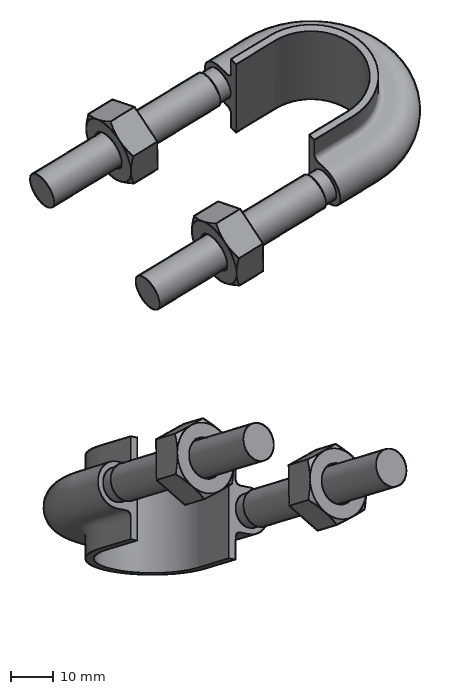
import cadquery as cq
import math

overall_length = 90.73
leg_spacing = 40.0
bend_radius = leg_spacing / 2
rod_radius = 8.38 / 2
thread_radius = 9.2 / 2
thread_length = 50.0

tube_wall = 1.5
plate_thickness = 2.0
plate_height = 25.0
sleeve_leg = 11.6
blend_radius = 1.5
tube_radius = rod_radius + tube_wall
plate_outer = bend_radius - rod_radius
plate_inner = plate_outer - plate_thickness

leg_end = overall_length - bend_radius - tube_radius
thread_start = leg_end - thread_length

nut_sides = 6
nut_flats = 17.0
nut_height = 8.0
nut_bore_radius = 10.0 / 2
nut_end_gap = 20.0
nut_turn = 1.2
nut_chamfer_angle = 30.0
nut_corner_radius = nut_flats / 2 / math.cos(math.pi / nut_sides)
nut_chamfer_depth = (nut_corner_radius - nut_flats / 2) * math.tan(math.radians(nut_chamfer_angle))

leg_sides = (-1, 1)


def leg_cylinder(side, radius, start, end):
    """Cylinder on a leg axis, from y = -start to y = -end."""
    return (
        cq.Workplane("XZ", origin=(side * bend_radius, -start, 0))
        .circle(radius)
        .extrude(end - start)
    )


def bend_around_z(section):
    """Half turn of a +X section through +Y to -X."""
    return section.revolve(180, (0, 0, 0), (0, 1, 0))


def make_bolt():
    """Bent rod with a thicker threaded stretch at each leg end."""
    bolt = bend_around_z(cq.Workplane("XZ").moveTo(bend_radius, 0).circle(rod_radius))
    for side in leg_sides:
        bolt = bolt.union(leg_cylinder(side, rod_radius, 0, thread_start))
        bolt = bolt.union(leg_cylinder(side, thread_radius, thread_start, leg_end))
    return bolt


def sleeve_section():
    """Plate, blends and tube in one outline, on the +X side."""
    half_height = plate_height / 2
    blend_end = tube_radius + blend_radius
    blend_x = plate_outer + blend_radius
    blend_mid_x = blend_x - blend_radius * math.sqrt(0.5)
    blend_mid_z = blend_end - blend_radius * math.sqrt(0.5)
    return (
        cq.Workplane("XZ")
        .moveTo(plate_inner, -half_height)
        .lineTo(plate_outer, -half_height)
        .lineTo(plate_outer, -blend_end)
        .threePointArc((blend_mid_x, -blend_mid_z), (blend_x, -tube_radius))
        .lineTo(bend_radius, -tube_radius)
        .threePointArc((bend_radius + tube_radius, 0), (bend_radius, tube_radius))
        .lineTo(blend_x, tube_radius)
        .threePointArc((blend_mid_x, blend_mid_z), (plate_outer, blend_end))
        .lineTo(plate_outer, half_height)
        .lineTo(plate_inner, half_height)
        .close()
    )


def make_sleeve(bolt):
    """Tube and saddle plate, hollowed to fit the bolt."""
    right_leg = sleeve_section().extrude(sleeve_leg)
    left_leg = right_leg.mirror("YZ")
    sleeve = bend_around_z(sleeve_section()).union(right_leg).union(left_leg)
    return sleeve.cut(bolt)


def make_nut(side):
    """Hexagon nut with its corners chamfered on the -Y face only."""
    near_face = leg_end - nut_end_gap - nut_height
    hexagon = (
        cq.Workplane("XY")
        .polygon(nut_sides, 2 * nut_corner_radius)
        .extrude(nut_height)
    )
    envelope = (
        cq.Workplane("XZ")
        .moveTo(0, 0)
        .lineTo(nut_corner_radius, 0)
        .lineTo(nut_corner_radius, nut_height - nut_chamfer_depth)
        .lineTo(nut_flats / 2, nut_height)
        .lineTo(0, nut_height)
        .close()
        .revolve(360, (0, 0, 0), (0, 1, 0))
    )
    bore = cq.Workplane("XY").circle(nut_bore_radius).extrude(nut_height)
    return (
        hexagon.intersect(envelope)
        .cut(bore)
        .rotate((0, 0, 0), (0, 0, 1), 90 + nut_turn)
        .rotate((0, 0, 0), (1, 0, 0), 90)
        .translate((side * bend_radius, -near_face, 0))
    )


bolt = make_bolt()
sleeve = make_sleeve(bolt)
nuts = [make_nut(side) for side in leg_sides]

result = cq.Compound.makeCompound([bolt.val(), sleeve.val(), *[nut.val() for nut in nuts]])